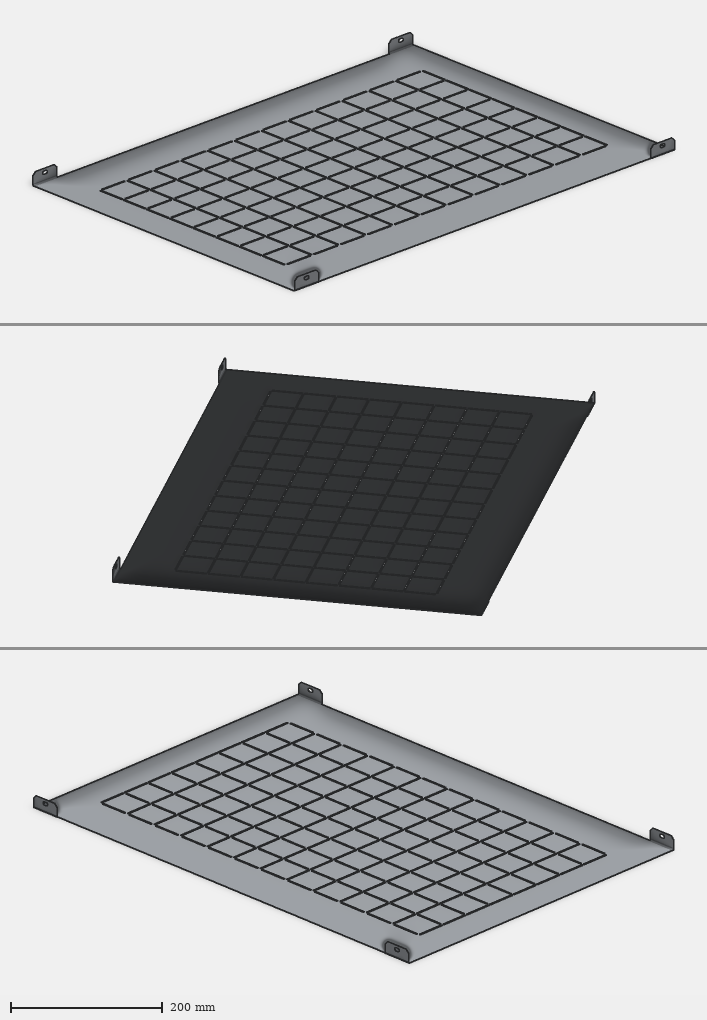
import cadquery as cq

plate_length = 693.0
overall_width = 498.0
overall_height = 19.5
sheet = 1.0

bend_inner_radius = 1.0
bend_outer_radius = bend_inner_radius + sheet
plate_width = overall_width - 2 * bend_outer_radius

tab_length = 44.0
tab_chamfer = 5.0
tab_slot_length = 8.0
tab_slot_height = 5.0
tab_slot_z = 13.0

columns = 8
rows = 12
grid_width = 352.0
column_pitch = grid_width / columns
pitch_difference = 5.0
row_pitch = column_pitch + pitch_difference
bridge_length = 3.0
slot_length = column_pitch - bridge_length
slot_width = 2.0


def centered_places(count, pitch):
    """Evenly spaced positions, symmetric about zero."""
    return [(i - (count - 1) / 2) * pitch for i in range(count)]


def slot_cutter(x_places, y_places, x_size, y_size):
    """Rectangular through slots at every pairing of the given positions."""
    places = [(x, y) for x in x_places for y in y_places]
    return cq.Workplane("XY").pushPoints(places).rect(x_size, y_size).extrude(sheet)


def perforated_plate():
    plate = cq.Workplane("XY").box(plate_width, plate_length, sheet, centered=(True, True, False))
    slots_along_x = slot_cutter(
        centered_places(columns, column_pitch),
        centered_places(rows + 1, row_pitch),
        slot_length,
        slot_width,
    )
    slots_along_y = slot_cutter(
        centered_places(columns + 1, column_pitch),
        centered_places(rows, row_pitch),
        slot_width,
        slot_length,
    )
    return plate.cut(slots_along_x).cut(slots_along_y)


def corner_tab():
    """Tab bent up from the +X edge of the plate, at the +Y corner."""
    bend_start = plate_width / 2
    outer_face = overall_width / 2
    inner_face = outer_face - sheet
    tab = (
        cq.Workplane("XZ", origin=(0, plate_length / 2, 0))
        .moveTo(bend_start, 0)
        .radiusArc((outer_face, bend_outer_radius), -bend_outer_radius)
        .lineTo(outer_face, overall_height)
        .lineTo(inner_face, overall_height)
        .lineTo(inner_face, bend_outer_radius)
        .radiusArc((bend_start, sheet), bend_inner_radius)
        .close()
        .extrude(tab_length)
        .edges("|X and >Z")
        .chamfer(tab_chamfer)
    )
    slot_center = (outer_face, (plate_length - tab_length) / 2, tab_slot_z)
    slot = (
        cq.Workplane("YZ", origin=slot_center)
        .slot2D(tab_slot_length, tab_slot_height)
        .extrude(-sheet)
    )
    return tab.cut(slot)


def all_tabs():
    """The four corner tabs, mirrored from one."""
    right_rear = corner_tab()
    right_pair = right_rear.union(right_rear.mirror("XZ"))
    return right_pair.union(right_pair.mirror("YZ"))


result = perforated_plate().union(all_tabs())